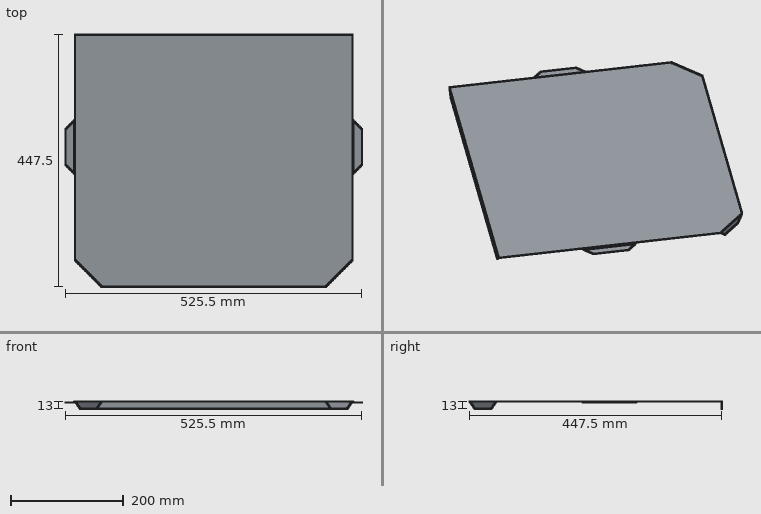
import cadquery as cq
import math

overall_width = 525.5
plate_depth = 447.5
overall_height = 13.0

sheet = 0.5
tab_reach = 17.0
plate_width = overall_width - 2 * tab_reach
corner_cut = 47.5
half_width = plate_width / 2
half_depth = plate_depth / 2

tab_length = 96.5
tab_center_y = 24.0
tab_step = 1.5
step_run = 2.0


def make_plate():
    """Flat sheet with its top at Z = 0 and the two front corners cut off."""
    outline = [
        (-half_width, half_depth),
        (half_width, half_depth),
        (half_width, corner_cut - half_depth),
        (half_width - corner_cut, -half_depth),
        (corner_cut - half_width, -half_depth),
        (-half_width, corner_cut - half_depth),
    ]
    return cq.Workplane("XY").polyline(outline).close().extrude(-sheet)


def make_flange(length, edge_x, edge_y, angle):
    """Downturned flange with 45 degree ends, centred on an edge.

    At angle 0 its outer face looks toward -Y; angle turns it about Z.
    """
    half_top = length / 2
    half_bottom = half_top - overall_height
    outline = [
        (-half_top, 0),
        (half_top, 0),
        (half_bottom, -overall_height),
        (-half_bottom, -overall_height),
    ]
    flange = cq.Workplane("XZ").polyline(outline).close().extrude(-sheet)
    return flange.rotate((0, 0, 0), (0, 0, 1), angle).translate((edge_x, edge_y, 0))


def make_tab(side):
    """Tab with 45 degree ends, joined to the plate edge by a sloping step; side is 1 or -1."""
    root_x = half_width - sheet
    tip_x = half_width + tab_reach
    step_x = half_width + step_run
    profile = [
        (root_x, 0),
        (half_width, 0),
        (step_x, -tab_step),
        (tip_x, -tab_step),
        (tip_x, -tab_step - sheet),
        (step_x, -tab_step - sheet),
        (half_width, -sheet),
        (root_x, -sheet),
    ]
    points = [(side * x, z) for x, z in profile]
    tab = cq.Workplane("XZ").polyline(points).close().extrude(tab_length / 2, both=True)

    half_root = tab_length / 2
    half_tip = half_root - tab_reach
    outline = [
        (root_x, -half_root),
        (half_width, -half_root),
        (tip_x, -half_tip),
        (tip_x, half_tip),
        (half_width, half_root),
        (root_x, half_root),
    ]
    outline_points = [(side * x, y) for x, y in outline]
    tab = tab.intersect(cq.Workplane("XY").polyline(outline_points).close().extrude(-overall_height))
    return tab.translate((0, tab_center_y, 0))


result = make_plate()
result = result.union(make_flange(plate_width, 0, half_depth, 180))

corner_edge_length = corner_cut * math.sqrt(2)
for side in (-1, 1):
    corner_x = side * (half_width - corner_cut / 2)
    corner_y = corner_cut / 2 - half_depth
    result = result.union(make_flange(corner_edge_length, corner_x, corner_y, side * 45))
    result = result.union(make_tab(side))